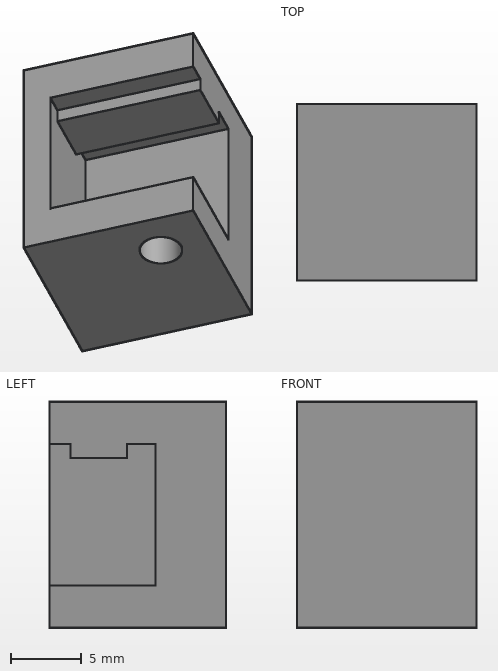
import cadquery as cq

width = 12.7
depth = 12.5
height = 16.0

floor_thickness = 3.0
roof_thickness = 3.0
pocket_depth = 7.5
side_wall = 2.0
pocket_width = width - side_wall
pocket_height = height - floor_thickness - roof_thickness

rib_drop = 1.0
rib_width = 4.0
rib_back_gap = 1.5

hole_diameter = 3.0
hole_x = 3.65
hole_y = depth - rib_back_gap - rib_width / 2


def box_at(size, corner):
    """Box of the given size with its minimum corner at the given point."""
    return cq.Workplane("XY").box(*size, centered=False).translate(corner)


block = box_at((width, depth, height), (0, 0, 0))

pocket = box_at(
    (pocket_width, pocket_depth, pocket_height),
    (0, depth - pocket_depth, floor_thickness),
)

rib = box_at(
    (pocket_width, rib_width, rib_drop),
    (0, hole_y - rib_width / 2, height - roof_thickness - rib_drop),
)

hole = (
    cq.Workplane("XY")
    .center(hole_x, hole_y)
    .circle(hole_diameter / 2)
    .extrude(floor_thickness)
)

result = block.cut(pocket).union(rib).cut(hole)